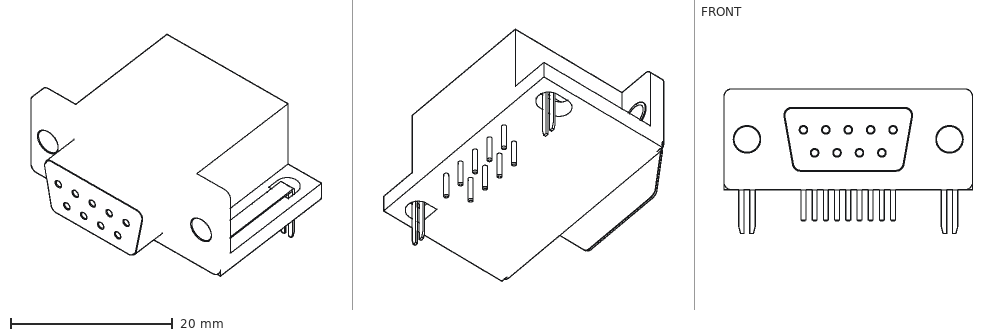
import cadquery as cq
import math


flange_width = 30.76
body_width = 19.8
height = 12.5
front_y = -19.5
flange_thickness = 2.25
shelf_height = 2.54
flange_corner_radius = 1.0

plate_thickness = 0.35
plate_edge_radius = 0.15

axis_z = height / 2
shell_width = 15.9
shell_height = 7.9
shell_lean = math.radians(10)
shell_corner_radius = 1.0
shell_root_radius = 0.6

nose_length = 6.1
nose_projection = 0.35
nose_inset = 0.12
nose_tip_radius = 0.1

contact_pitch = 2.77
upper_count = 5
lower_count = 4
contact_row_spacing = 2.84
contact_mid_z = 6.0
socket_diameter = 0.85
socket_lead_in = 0.1
socket_depth = 5.0
pin_diameter = 0.64
pin_length = 3.85
pin_chamfer = 0.15
pin_embed = 1.0
rear_pin_y = -1.84
front_pin_y = -4.62

mount_x = 12.52
mount_hole_diameter = 3.2
mount_hole_lead_in = 0.1
slot_width = 3.2
slot_rear_center_y = -3.2
slot_front_center_y = -4.85

strap_width = 2.06
strap_thickness = 0.3
strap_rise = 0.2
washer_diameter = 4.0
washer_thickness = 0.15
bend_chamfer = 0.15
tail_rear_y = -3.07
tail_length = 5.4
tail_gap = 0.68
tail_tip_height = 0.85
tail_tip_inset = 0.22

flange_back_y = front_y + flange_thickness
plate_back_y = front_y + plate_thickness
nose_tip_y = front_y - nose_length
strap_top_z = shelf_height + strap_rise


def box(x0, x1, y0, y1, z0, z1):
    """Axis-aligned box between two corners."""
    return cq.Workplane("XY").box(x1 - x0, y1 - y0, z1 - z0, centered=False).translate((x0, y0, z0))


def y_cylinder(diameter, x, z, y0, y1):
    """Cylinder along Y between two Y positions."""
    plane = cq.Workplane("XZ", origin=(x, y1, z))
    return plane.circle(diameter / 2).extrude(y1 - y0)


def make_housing():
    """Body block, side shelves and flange with its rounded upper corners."""
    half_flange = flange_width / 2
    half_body = body_width / 2
    flange = box(-half_flange, half_flange, plate_back_y, flange_back_y, 0, height)
    flange = flange.edges("|Y and >Z").fillet(flange_corner_radius)
    shelf = box(-half_flange, half_flange, plate_back_y, 0, 0, shelf_height)
    body = box(-half_body, half_body, plate_back_y, 0, 0, height)
    return flange.union(shelf).union(body)


def make_plate():
    """Face plate, rounded at all corners and along its front rim."""
    half_flange = flange_width / 2
    plate = box(-half_flange, half_flange, front_y, plate_back_y, 0, height)
    plate = plate.edges("|Y").fillet(flange_corner_radius)
    return plate.faces("<Y").edges().fillet(plate_edge_radius)


def d_prism(inset, tip_y):
    """D-shaped prism from the face plate to tip_y; its width spans the rounded upper corners."""
    radius = shell_corner_radius - inset
    corner_reach = (1 + math.sin(shell_lean)) / math.cos(shell_lean)
    half_height = shell_height / 2 - inset
    half_top = shell_width / 2 - inset + radius * (corner_reach - 1)
    half_bottom = half_top - 2 * half_height * math.tan(shell_lean)
    top_z = axis_z + half_height
    bottom_z = axis_z - half_height
    outline = [(-half_top, top_z), (half_top, top_z), (half_bottom, bottom_z), (-half_bottom, bottom_z)]
    prism = cq.Workplane("XZ", origin=(0, plate_back_y, 0)).polyline(outline).close()
    return prism.extrude(plate_back_y - tip_y).edges("|Y").fillet(radius)


def make_nose():
    """Insulator filling the shell, with a rounded front rim."""
    nose = d_prism(nose_inset, nose_tip_y)
    return nose.faces("<Y").edges().fillet(nose_tip_radius)


def blend_shell_root(part):
    """Concave fillet where the shell meets the face plate."""
    reach = 0.1
    half_width = shell_width / 2 + reach
    half_height = shell_height / 2 + reach
    root = cq.selectors.BoxSelector(
        (-half_width, front_y - reach, axis_z - half_height),
        (half_width, front_y + reach, axis_z + half_height),
    )
    return part.faces("|Y").edges(root).fillet(shell_root_radius)


def row_positions(count):
    """X positions of a centred row of contacts."""
    return [(i - (count - 1) / 2) * contact_pitch for i in range(count)]


def lead_in_hole(diameter, lead_in, x, z, mouth_y, end_y):
    """Cutter along Y for a hole that widens at 45 degrees towards its mouth."""
    bore = y_cylinder(diameter, x, z, mouth_y, end_y)
    mouth = cq.Workplane("XY").add(
        cq.Solid.makeCone(
            diameter / 2 + lead_in, diameter / 2, lead_in, cq.Vector(x, mouth_y, z), cq.Vector(0, 1, 0)
        )
    )
    return bore.union(mouth)


def make_socket(x, z):
    """Cutter for a blind contact hole in the nose."""
    end_y = nose_tip_y + socket_depth
    return lead_in_hole(socket_diameter, socket_lead_in, x, z, nose_tip_y, end_y)


def make_pin(x, y):
    """Round solder pin with a chamfered end."""
    pin = cq.Workplane("XY", origin=(x, y, -pin_length)).circle(pin_diameter / 2)
    return pin.extrude(pin_length + pin_embed).faces("<Z").chamfer(pin_chamfer)


def make_slot(x, round_front):
    """Through slot in a shelf, round at the rear and round or square at the front."""
    half = slot_width / 2
    slot = box(x - half, x + half, slot_front_center_y, slot_rear_center_y, 0, shelf_height)
    ends = [slot_rear_center_y]
    if round_front:
        ends.append(slot_front_center_y)
    for y in ends:
        slot = slot.union(cq.Workplane("XY", origin=(x, y, 0)).circle(half).extrude(shelf_height))
    return slot


def make_strap(x):
    """Grounding strap: washer behind the flange, bent strip and two-pronged tail."""
    half = strap_width / 2
    hole_bottom_z = axis_z - mount_hole_diameter / 2
    strap_bottom_z = strap_top_z - strap_thickness
    strip_y = flange_back_y + strap_thickness
    tail_front_y = tail_rear_y - strap_thickness

    washer = y_cylinder(washer_diameter, x, axis_z, flange_back_y, flange_back_y + washer_thickness)
    upright = box(x - half, x + half, flange_back_y, strip_y, strap_bottom_z, hole_bottom_z)
    strip = box(x - half, x + half, flange_back_y, tail_rear_y, strap_bottom_z, strap_top_z)

    tip_z = -tail_length
    shoulder_z = tip_z + tail_tip_height
    tip_half = half - tail_tip_inset
    outline = [
        (x - half, strap_top_z),
        (x + half, strap_top_z),
        (x + half, shoulder_z),
        (x + tip_half, tip_z),
        (x - tip_half, tip_z),
        (x - half, shoulder_z),
    ]
    tail = cq.Workplane("XZ", origin=(0, tail_rear_y, 0)).polyline(outline).close()
    tail = tail.extrude(strap_thickness)
    gap = box(x - tail_gap / 2, x + tail_gap / 2, tail_front_y, tail_rear_y, tip_z, strap_bottom_z)
    bent = strip.union(tail.cut(gap))
    bent = bent.edges("|X and >Z and >Y").chamfer(bend_chamfer)
    return washer.union(upright).union(bent)


shell = d_prism(0, nose_tip_y + nose_projection)
result = blend_shell_root(make_plate().union(shell))
result = result.union(make_nose()).union(make_housing())

result = result.cut(make_slot(-mount_x, True)).cut(make_slot(mount_x, False))

for side in (-1, 1):
    result = result.union(make_strap(side * mount_x))
    mount_hole = lead_in_hole(mount_hole_diameter, mount_hole_lead_in, side * mount_x, axis_z, front_y, 0)
    result = result.cut(mount_hole)

for contact_x in row_positions(upper_count):
    result = result.cut(make_socket(contact_x, contact_mid_z + contact_row_spacing / 2))
    result = result.union(make_pin(contact_x, rear_pin_y))

for contact_x in row_positions(lower_count):
    result = result.cut(make_socket(contact_x, contact_mid_z - contact_row_spacing / 2))
    result = result.union(make_pin(contact_x, front_pin_y))